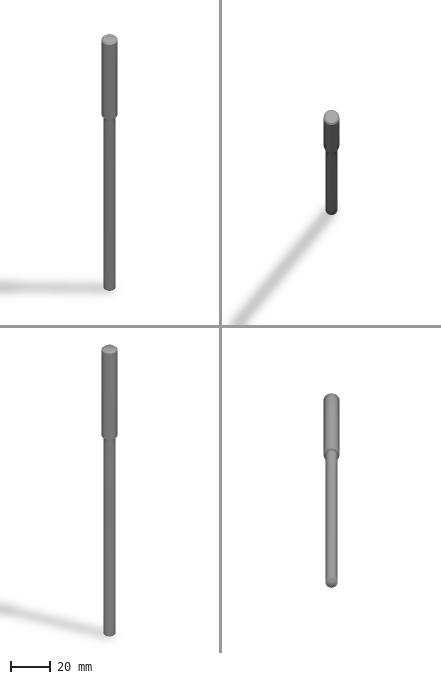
import cadquery as cq
import math


SHANK_DIAMETER = 8.0
SHANK_LENGTH = 53.0
SHANK_CHAMFER_WIDTH = 0.8
SHANK_CHAMFER_HEIGHT = 0.8
DRILL_DIAMETER = 6.1
POINT_ANGLE = 140.0
BODY_LENGTH = 173.0
NECK_LENGTH = 28.5

SHANK_RADIUS = SHANK_DIAMETER / 2
DRILL_RADIUS = DRILL_DIAMETER / 2
POINT_HEIGHT = DRILL_RADIUS / math.tan(math.radians(POINT_ANGLE / 2))
TOP_Z = POINT_HEIGHT + BODY_LENGTH
SHANK_BOTTOM_Z = TOP_Z - SHANK_LENGTH
NECK_BOTTOM_Z = SHANK_BOTTOM_Z - NECK_LENGTH


def revolve_profile(radius_height_points):
    """Turn a closed (radius, Z) profile about the Z axis."""
    profile = cq.Workplane("XZ").polyline(radius_height_points).close()
    return profile.revolve(360, (0, 0, 0), (0, 1, 0))


def make_cutting_part():
    """Cylindrical cutting part ending in the conical drill point."""
    return revolve_profile([
        (0, 0),
        (DRILL_RADIUS, POINT_HEIGHT),
        (DRILL_RADIUS, NECK_BOTTOM_Z),
        (0, NECK_BOTTOM_Z),
    ])


def make_shank():
    """Clamping shank with a chamfered end and the thinner neck below it."""
    return revolve_profile([
        (0, NECK_BOTTOM_Z),
        (DRILL_RADIUS, NECK_BOTTOM_Z),
        (DRILL_RADIUS, SHANK_BOTTOM_Z),
        (SHANK_RADIUS, SHANK_BOTTOM_Z),
        (SHANK_RADIUS, TOP_Z - SHANK_CHAMFER_HEIGHT),
        (SHANK_RADIUS - SHANK_CHAMFER_WIDTH, TOP_Z),
        (0, TOP_Z),
    ])


cutting_part = make_cutting_part()
shank = make_shank()

result = cq.Compound.makeCompound([cutting_part.val(), shank.val()])